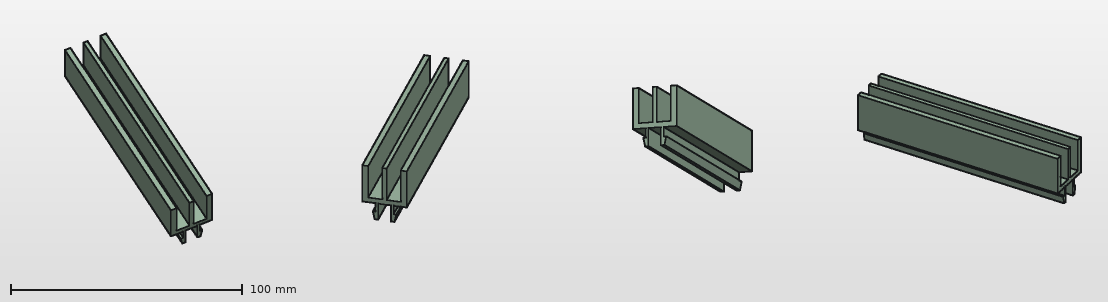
import cadquery as cq

length = 100.0
width = 20.0
channel_height = 18.0
side_wall = 2.7
center_fin = 2.0
base_thickness = 2.4

leg_length = 8.0
leg_gap = 5.7
leg_thickness = 1.2
barb_drop = 4.2
barb_overhang = 1.2
barb_tip_width = 1.6


def channel():
    """U-shaped channel split into two equal slots by a central fin."""
    body = cq.Workplane("XY").box(length, width, channel_height, centered=(True, True, False))
    slot_width = (width - center_fin) / 2 - side_wall
    slot_center = (center_fin + slot_width) / 2
    slot_depth = channel_height - base_thickness
    for side in (-1, 1):
        slot = (
            cq.Workplane("XY", origin=(0, side * slot_center, base_thickness))
            .box(length, slot_width, slot_depth, centered=(True, True, False))
        )
        body = body.cut(slot)
    return body


def snap_leg():
    """Leg on the +Y side with an outward barb tapering to its tip."""
    inner = leg_gap / 2
    outer = inner + leg_thickness
    profile = [
        (inner, 0),
        (outer, 0),
        (outer, -barb_drop),
        (outer + barb_overhang, -barb_drop),
        (inner + barb_tip_width, -leg_length),
        (inner, -leg_length),
    ]
    return cq.Workplane("YZ").polyline(profile).close().extrude(length / 2, both=True)


leg = snap_leg()
result = channel().union(leg).union(leg.mirror("XZ"))